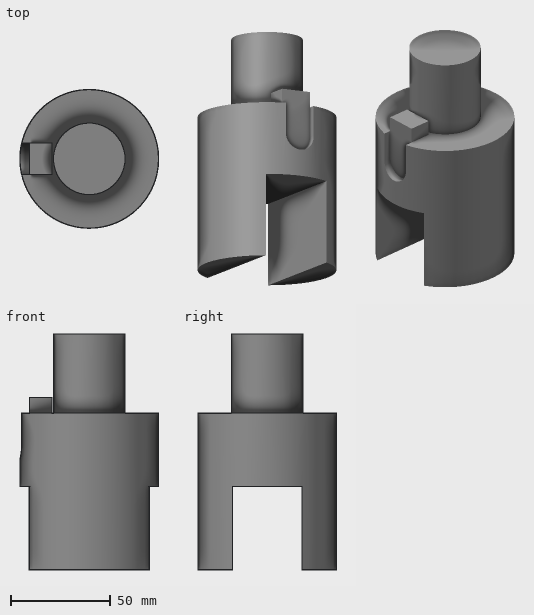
import cadquery as cq

total_height = 119.0
body_diameter = 70.0
body_height = 79.0
slot_width = 35.0
slot_height = 42.0

shaft_diameter = 36.0

key_width = 16.0
key_thickness = 11.5
key_outer_x = -30.2
key_bottom = 55.5
key_top = 87.0
key_inner_x = key_outer_x + key_thickness


def key_profile_prism(x_start, x_end, top):
    """Bar along X whose YZ outline has a half-round lower end and a flat top."""
    half_width = key_width / 2
    arc_center = key_bottom + half_width
    return (
        cq.Workplane("YZ", origin=(x_start, 0, 0))
        .moveTo(-half_width, top)
        .lineTo(-half_width, arc_center)
        .threePointArc((0, key_bottom), (half_width, arc_center))
        .lineTo(half_width, top)
        .close()
        .extrude(x_end - x_start)
    )


def make_fork_body():
    """Cylinder with a slot across its lower end and a keyway open to the side and top."""
    cylinder = cq.Workplane("XY").circle(body_diameter / 2).extrude(body_height)
    slot = cq.Workplane("XY").box(
        body_diameter, slot_width, slot_height, centered=(True, True, False)
    )
    keyway = key_profile_prism(-body_diameter / 2, key_inner_x, body_height)
    return cylinder.cut(slot).cut(keyway)


def make_shaft():
    """Plain round shaft standing on the top face of the fork body."""
    return (
        cq.Workplane("XY", origin=(0, 0, body_height))
        .circle(shaft_diameter / 2)
        .extrude(total_height - body_height)
    )


def make_key():
    """Key that fills the inner part of the keyway and rises above the body."""
    return key_profile_prism(key_outer_x, key_inner_x, key_top)


fork_body = make_fork_body()
shaft = make_shaft()
key = make_key()

result = cq.Compound.makeCompound([fork_body.val(), shaft.val(), key.val()])